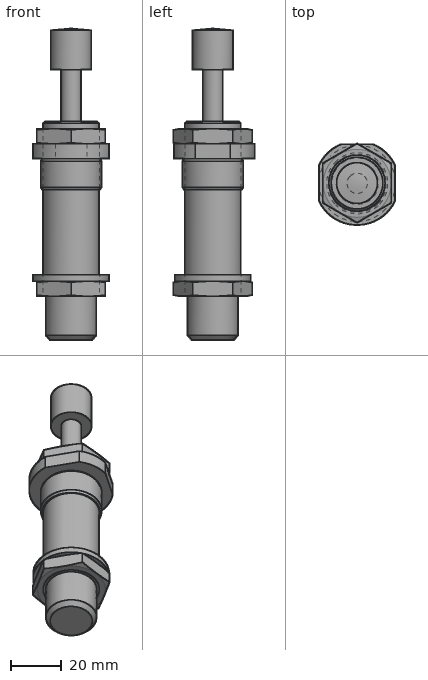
import cadquery as cq
import math

total_height = 122.5

housing_diameter = 22.0
housing_top = 86.0
housing_top_chamfer = 0.9
spigot_diameter = 20.0
spigot_chamfer_height = 2.0
spigot_chamfer_width = 1.7

rod_diameter = 8.0
head_diameter = 16.0
head_bottom = 106.3
head_cone_height = 0.7

nut_across_flats = 27.0
nut_height = 5.9
nut_chamfer_diameter = 26.7
nut_chamfer_angle = 12.0
lower_nut_bottom = 17.3

washer_diameter = 30.0
washer_bore = 22.5
washer_height = 2.6

sleeve_diameter = 24.0
sleeve_bottom = 59.2
sleeve_chamfer_height = 1.0
sleeve_chamfer_width = 0.6
flange_diameter = 33.1
flange_height = 5.9
flange_width = 30.0
flange_back_flat = 15.3

washer_bottom = lower_nut_bottom + nut_height
upper_nut_top = 83.0
upper_nut_bottom = upper_nut_top - nut_height
flange_bottom = upper_nut_bottom - flange_height


def cylinder(diameter, bottom, top):
    return cq.Workplane("XY").workplane(offset=bottom).circle(diameter / 2).extrude(top - bottom)


def revolved(profile):
    """Turn a closed (radius, height) outline about the Z axis."""
    return cq.Workplane("XZ").polyline(profile).close().revolve(360, (0, 0, 0), (0, 1, 0))


def make_housing():
    """Stepped barrel; its shoulder lies at the underside of the lower nut."""
    radius = housing_diameter / 2
    spigot_radius = spigot_diameter / 2
    return revolved([
        (0, 0),
        (spigot_radius - spigot_chamfer_width, 0),
        (spigot_radius, spigot_chamfer_height),
        (spigot_radius, lower_nut_bottom),
        (radius, lower_nut_bottom),
        (radius, housing_top - housing_top_chamfer),
        (radius - housing_top_chamfer, housing_top),
        (0, housing_top),
    ])


def make_plunger():
    """Rod standing on the housing, with a head whose end face is a shallow cone."""
    rod_radius = rod_diameter / 2
    head_radius = head_diameter / 2
    return revolved([
        (0, housing_top),
        (rod_radius, housing_top),
        (rod_radius, head_bottom),
        (head_radius, head_bottom),
        (head_radius, total_height - head_cone_height),
        (0, total_height),
    ])


def make_nut(bottom):
    """Hexagon nut with both faces bevelled at the corners."""
    corner_diameter = nut_across_flats / math.cos(math.pi / 6)
    corner_radius = corner_diameter / 2
    face_radius = nut_chamfer_diameter / 2
    bevel_height = (corner_radius - face_radius) * math.tan(math.radians(nut_chamfer_angle))
    top = bottom + nut_height

    hexagon = (
        cq.Workplane("XY")
        .workplane(offset=bottom)
        .transformed(rotate=(0, 0, 90))
        .polygon(6, corner_diameter)
        .extrude(nut_height)
    )
    bevel_envelope = revolved([
        (0, bottom),
        (face_radius, bottom),
        (corner_radius, bottom + bevel_height),
        (corner_radius, top - bevel_height),
        (face_radius, top),
        (0, top),
    ])
    return hexagon.intersect(bevel_envelope).cut(cylinder(housing_diameter, bottom, top))


def make_washer():
    top = washer_bottom + washer_height
    return cylinder(washer_diameter, washer_bottom, top).cut(cylinder(washer_bore, washer_bottom, top))


def make_stop_collar():
    """Sleeve chamfered at both ends below a flange cut by two side flats and one back flat."""
    radius = sleeve_diameter / 2
    chamfered_radius = radius - sleeve_chamfer_width
    sleeve = revolved([
        (0, sleeve_bottom),
        (chamfered_radius, sleeve_bottom),
        (radius, sleeve_bottom + sleeve_chamfer_height),
        (radius, flange_bottom - sleeve_chamfer_height),
        (chamfered_radius, flange_bottom),
        (0, flange_bottom),
    ])

    flange_depth = flange_diameter / 2 + flange_back_flat
    flat_limits = (
        cq.Workplane("XY")
        .workplane(offset=flange_bottom)
        .center(0, flange_back_flat - flange_depth / 2)
        .rect(flange_width, flange_depth)
        .extrude(flange_height)
    )
    flange = cylinder(flange_diameter, flange_bottom, upper_nut_bottom).intersect(flat_limits)
    bore = cylinder(housing_diameter, sleeve_bottom, upper_nut_bottom)
    return sleeve.union(flange).cut(bore)


housing = make_housing()
plunger = make_plunger()
washer = make_washer()
stop_collar = make_stop_collar()
nuts = [make_nut(bottom).val() for bottom in (lower_nut_bottom, upper_nut_bottom)]

result = cq.Compound.makeCompound([
    housing.val(),
    plunger.val(),
    washer.val(),
    stop_collar.val(),
    *nuts,
])